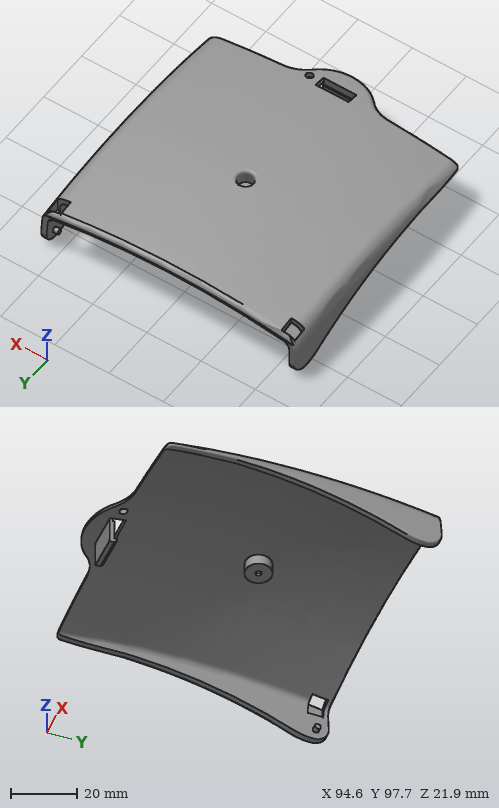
import cadquery as cq
import math

length = 97.7
back_y = length / 2
tab_tip_y = -length / 2
height = 21.9
reach = 146.5

crown_y = 5.4
lengthwise_radius = 269.6
crosswise_radius = 265.7
shoulder_radius = 5.0
roof_thickness = 2.1
wall_thickness = 2.3
half_width_shoulder = 46.9
wall_flare = 0.73
foot_z = -5.9
sweep_angle = 30.0

front_y = -40.1
tab_radius = 15.6
tab_blend_start_x = 19.7
top_edge_radius = 2.0
leg_edge_radius = 0.6

rear_round_angle = 22.0
rear_round_clearance = 2.9

leg_corner_radius = 5.1
leg_low_y = 43.6
leg_run_y, leg_run_z = 37.3, 1.3
arch_y, arch_z = -17.6, 13.1
arch_radius = 146.5
front_foot_z = 12.1
front_foot_y = -39.1
rear_edge_y = 48.1
rear_edge_z = height - lengthwise_radius + math.sqrt(lengthwise_radius**2 - (rear_edge_y - crown_y) ** 2)

window_inner_x, window_outer_x = 40.7, 45.5
window_front_y, window_rear_y = 41.9, 47.0
window_bottom_z = 9.8
pin_diameter = 2.0
pin_y, pin_z = 44.5, 3.6
pin_tip_x = 43.0

well_y = 7.8
well_diameter = 5.6
well_depth = 4.9
well_edge_radius = 1.0
well_wall = 1.5
well_floor = 1.0
screw_hole_diameter = 2.0

slot_length = 12.1
slot_front_y, slot_rear_y = -42.0, -37.8
slot_bottom_z = 14.7
hook_front_y, hook_rear_y = -43.1, -41.5
hook_top_z, hook_bottom_z = 16.1, 6.2
barb_top_z = 7.8
barb_reach = 1.0
barb_lip = 0.6
hook_tip_length = 11.3
round_hole_diameter = 2.5
round_hole_x, round_hole_y = 10.0, -40.2


def arched_solid(inset_roof, inset_wall):
    """Filled arch, inset from the outer skin and revolved along the length."""
    roof_radius = crosswise_radius - inset_roof
    shoulder = shoulder_radius - inset_wall
    roof_centre_z = height - crosswise_radius
    half_width = half_width_shoulder - inset_wall
    shoulder_x = half_width - shoulder
    spread = math.asin(shoulder_x / (roof_radius - shoulder))
    shoulder_z = roof_centre_z + (roof_radius - shoulder) * math.cos(spread)
    roof_end = (roof_radius * math.sin(spread), roof_centre_z + roof_radius * math.cos(spread))
    bisector = (math.pi / 2 - spread) / 2
    shoulder_mid = (shoulder_x + shoulder * math.cos(bisector), shoulder_z + shoulder * math.sin(bisector))
    foot_x = half_width + wall_flare

    def mirrored(point):
        return (-point[0], point[1])

    profile = (
        cq.Workplane("XZ", origin=(0, crown_y, 0))
        .moveTo(-foot_x, foot_z)
        .lineTo(-half_width, shoulder_z)
        .threePointArc(mirrored(shoulder_mid), mirrored(roof_end))
        .threePointArc((0, height - inset_roof), roof_end)
        .threePointArc(shoulder_mid, (half_width, shoulder_z))
        .lineTo(foot_x, foot_z)
        .close()
    )
    axis_z = height - lengthwise_radius
    arch = profile.revolve(sweep_angle, (0, axis_z, 0), (1, axis_z, 0))
    return arch.rotate((0, crown_y, axis_z), (1, crown_y, axis_z), -sweep_angle / 2)


def plan_prism():
    """Rectangle with a rounded tab that blends into the front edge."""
    tab_centre_y = tab_tip_y + tab_radius
    gap = tab_centre_y - front_y
    x = tab_blend_start_x
    blend_radius = (x**2 + gap**2 - tab_radius**2) / (2 * (tab_radius - gap))
    blend_centre_y = front_y - blend_radius
    turn = math.asin(x / (tab_radius + blend_radius))
    meet = (tab_radius * math.sin(turn), tab_centre_y - tab_radius * math.cos(turn))
    blend_mid = (
        x - blend_radius * math.sin(turn / 2),
        blend_centre_y + blend_radius * math.cos(turn / 2),
    )
    outline = (
        cq.Workplane("XY", origin=(0, 0, -reach / 2))
        .moveTo(-reach, front_y)
        .lineTo(-x, front_y)
        .threePointArc((-blend_mid[0], blend_mid[1]), (-meet[0], meet[1]))
        .threePointArc((0, tab_tip_y), meet)
        .threePointArc(blend_mid, (x, front_y))
        .lineTo(reach, front_y)
        .lineTo(reach, reach)
        .lineTo(-reach, reach)
        .close()
    )
    return outline.extrude(reach)


def side_prism():
    """Side outline: leaning back face, rounded legs and arched lower edge."""
    outline = (
        cq.Workplane("YZ", origin=(-reach / 2, 0, 0))
        .moveTo(-reach, front_foot_z)
        .lineTo(front_foot_y, front_foot_z)
        .lineTo(arch_y, arch_z)
        .radiusArc((leg_run_y, leg_run_z), arch_radius)
        .tangentArcPoint((leg_low_y, 0), relative=False)
        .radiusArc((back_y, leg_corner_radius), -leg_corner_radius)
        .lineTo(rear_edge_y, rear_edge_z)
        .lineTo(rear_edge_y, height)
        .lineTo(-reach, height)
        .close()
    )
    return outline.extrude(reach)


def rear_round_cutter():
    """Ring segment that rounds the rear roof edge and fades out on the shoulders."""
    slope = math.asin((rear_edge_y - crown_y) / lengthwise_radius)
    lean = math.atan((back_y - rear_edge_y) / (rear_edge_z - leg_corner_radius))
    turn = math.pi / 2 - slope - lean
    setback = top_edge_radius * math.tan(turn / 2)
    on_roof = (rear_edge_y - setback * math.cos(slope), rear_edge_z + setback * math.sin(slope))
    on_back = (rear_edge_y + setback * math.sin(lean), rear_edge_z - setback * math.cos(lean))
    outside_y = rear_edge_y + rear_round_clearance
    outside_z = rear_edge_z + rear_round_clearance
    section = (
        cq.Workplane("YZ")
        .moveTo(*on_roof)
        .radiusArc(on_back, top_edge_radius)
        .lineTo(outside_y, rear_edge_z - setback)
        .lineTo(outside_y, outside_z)
        .lineTo(on_roof[0], outside_z)
        .close()
    )
    centre_z = rear_edge_z - crosswise_radius * math.cos(slope)
    ring = section.revolve(rear_round_angle, (0, centre_z, 0), (1, centre_z, 0))
    return ring.rotate((0, 0, centre_z), (0, 1, centre_z), -rear_round_angle / 2)


def nearest_edge(body, point):
    """Edge closest to a point; rounding it also follows the edges tangent to it."""
    return body.edges(cq.selectors.NearestToPointSelector(point))


def upright_box(x_range, y_range, z_range):
    """Box spanning the given X, Y and Z ranges."""
    sizes = [high - low for low, high in (x_range, y_range, z_range)]
    corner = cq.Vector(x_range[0], y_range[0], z_range[0])
    return cq.Workplane("XY").box(*sizes, centered=False).translate(corner)


def hinge_pin(side):
    """Short round pin standing inward from the side wall; side is -1 or 1."""
    root_x = half_width_shoulder - wall_thickness / 2
    pin = cq.Workplane("YZ").center(pin_y, pin_z).circle(pin_diameter / 2).extrude(root_x - pin_tip_x)
    start_x = pin_tip_x if side > 0 else -root_x
    return pin.translate((start_x, 0, 0))


def corner_window(side):
    """Rectangular opening through the roof above a hinge pin."""
    x_range = sorted((side * window_inner_x, side * window_outer_x))
    return upright_box(x_range, (window_front_y, window_rear_y), (window_bottom_z, height))


def upright_cylinder(x, y, diameter, bottom_z, top_z):
    """Vertical cylinder centred on (x, y)."""
    base = cq.Workplane("XY", origin=(x, y, bottom_z))
    return base.circle(diameter / 2).extrude(top_z - bottom_z)


def latch_hook():
    """Flat tongue under the tab, narrowing downward, with an inward barb at its end."""
    barb_tip_y = hook_rear_y + barb_reach
    tongue = (
        cq.Workplane("YZ", origin=(-slot_length / 2, 0, 0))
        .moveTo(hook_front_y, hook_top_z)
        .lineTo(hook_rear_y, hook_top_z)
        .lineTo(hook_rear_y, barb_top_z)
        .lineTo(barb_tip_y, barb_top_z)
        .lineTo(barb_tip_y, barb_top_z - barb_lip)
        .lineTo(hook_rear_y, hook_bottom_z)
        .lineTo(hook_front_y, hook_bottom_z)
        .close()
        .extrude(slot_length)
    )
    taper = (
        cq.Workplane("XZ")
        .moveTo(-slot_length / 2, hook_top_z)
        .lineTo(slot_length / 2, hook_top_z)
        .lineTo(hook_tip_length / 2, hook_bottom_z)
        .lineTo(-hook_tip_length / 2, hook_bottom_z)
        .close()
        .extrude(reach)
    )
    return tongue.intersect(taper)


body = arched_solid(0, 0).intersect(plan_prism()).intersect(side_prism())
tab_edge_z = height - (crown_y - tab_tip_y) ** 2 / (2 * lengthwise_radius)
body = nearest_edge(body, (0, tab_tip_y, tab_edge_z)).fillet(top_edge_radius)
leg_back_z = (leg_corner_radius + height / 2) / 2
body = nearest_edge(body, (-half_width_shoulder, back_y, leg_back_z)).fillet(leg_edge_radius)
body = body.cut(rear_round_cutter())
body = body.cut(arched_solid(roof_thickness, wall_thickness))

well_floor_z = height - well_depth
cup_top_z = height - roof_thickness / 2
cup_diameter = well_diameter + 2 * well_wall
body = body.union(upright_cylinder(0, well_y, cup_diameter, well_floor_z - well_floor, cup_top_z))
body = body.cut(upright_cylinder(0, well_y, well_diameter, well_floor_z, height))
body = nearest_edge(body, (0, well_y + well_diameter / 2, height)).fillet(well_edge_radius)
body = body.cut(upright_cylinder(0, well_y, screw_hole_diameter, 0, height))

for side in (-1, 1):
    body = body.cut(corner_window(side))
    body = body.union(hinge_pin(side))

body = body.cut(upright_cylinder(round_hole_x, round_hole_y, round_hole_diameter, 0, height))
slot_x = (-slot_length / 2, slot_length / 2)
body = body.union(latch_hook())
body = body.cut(upright_box(slot_x, (slot_front_y, slot_rear_y), (slot_bottom_z, height)))

result = body